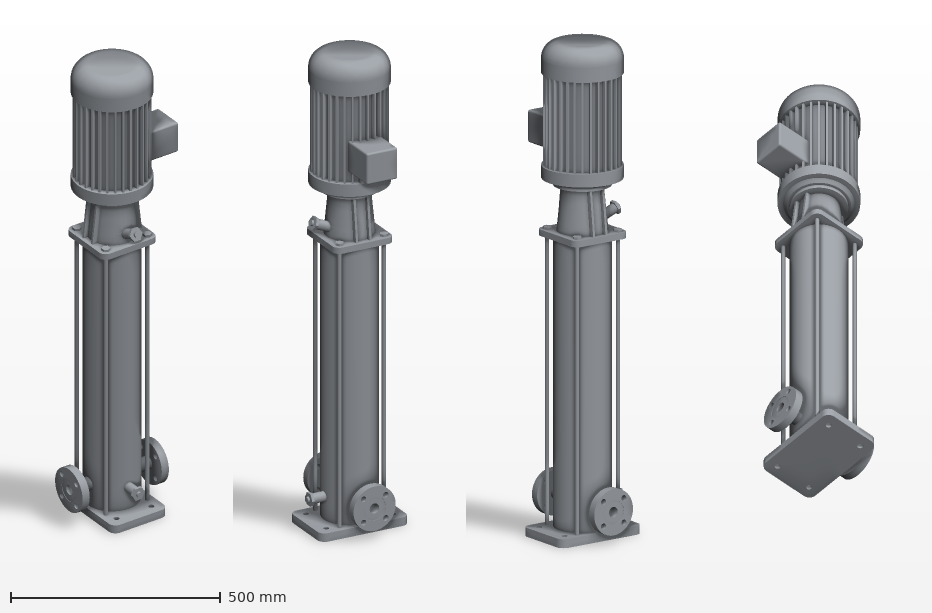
import cadquery as cq
import math


TOTAL_HEIGHT = 1217.0
OVERLAP = 4.0

BASE_LENGTH = 240.0
BASE_WIDTH = 160.0
BASE_HEIGHT = 22.0
PLATE_CORNER_RADIUS = 20.0
BASE_HOLE_DIAMETER = 15.0
BASE_HOLE_SPACING_X = 181.0
BASE_HOLE_SPACING_Y = 101.0

BARREL_DIAMETER = 140.0
HEAD_BOTTOM = 735.0
HEAD_THICKNESS = 16.0
HEAD_TOP = HEAD_BOTTOM + HEAD_THICKNESS
ROD_DIAMETER = 10.0
ROD_SPACING = 120.0
NUT_ACROSS_CORNERS = 22.0
NUT_HEIGHT = 6.0

PIPE_HEIGHT = 82.0
PIPE_DIAMETER = 34.0
BORE_DIAMETER = 25.0
FLANGE_DIAMETER = 115.0
FLANGE_THICKNESS = 21.0
FLANGE_REACH = 125.0
FLANGE_HOLE_DIAMETER = 15.0
FLANGE_HOLE_CIRCLE = 85.0
FACE_DIAMETER = 60.0
FACE_RECESS = 1.0

PLUG_DIAMETER = 25.0
PLUG_HEX_ACROSS_FLATS = 32.0
PLUG_HEX_THICKNESS = 7.0
PLUG_PIN_DIAMETER = 15.0
PLUG_PIN_LENGTH = 6.0
DRAIN_END = 117.0
VENT_LENGTH = 115.0
VENT_START_HEIGHT = 752.0
VENT_TILT = 22.0

LANTERN_BOTTOM_RADIUS = 62.0
LANTERN_TOP_RADIUS = 51.0
RIB_THICKNESS = 6.0
RIB_SPACING = 37.0
RIB_BOTTOM_REACH = 72.0
RIB_TOP_REACH = 58.0

MOTOR_FLANGE_BOTTOM = 863.0
MOTOR_FLANGE_TOP = 873.0
MOTOR_FLANGE_DIAMETER = 140.0
BELL_BOTTOM = 881.0
BELL_TOP = 913.0
BELL_CONE_BOTTOM_RADIUS = 77.0
BELL_CONE_TOP_RADIUS = 85.0
MOTOR_DIAMETER = 197.0
COVER_BOTTOM = 1139.0
COVER_ROUNDING = 40.0
CORE_DIAMETER = 163.0
FIN_DIAMETER = 187.0
FIN_COUNT = 30
FIN_THICKNESS = 5.0

BOX_WIDTH = 84.0
BOX_BOTTOM = 938.0
BOX_TOP = 1019.0
BOX_START = 61.0
BOX_REACH = 164.0
BOX_ROUNDING = 5.0


def cylinder(diameter, bottom, top):
    return cq.Workplane("XY").workplane(offset=bottom).circle(diameter / 2).extrude(top - bottom)


def rounded_plate(length, width, bottom, thickness):
    plate = cq.Workplane("XY").workplane(offset=bottom).rect(length, width).extrude(thickness)
    return plate.edges("|Z").fillet(PLATE_CORNER_RADIUS)


def make_base():
    base = rounded_plate(BASE_LENGTH, BASE_WIDTH, 0, BASE_HEIGHT)
    hole_centers = base.faces(">Z").workplane().rect(
        BASE_HOLE_SPACING_X, BASE_HOLE_SPACING_Y, forConstruction=True
    )
    return hole_centers.vertices().hole(BASE_HOLE_DIAMETER)


def make_body():
    barrel = cylinder(BARREL_DIAMETER, BASE_HEIGHT - OVERLAP, HEAD_BOTTOM + OVERLAP)
    head = rounded_plate(BASE_WIDTH, BASE_WIDTH, HEAD_BOTTOM, HEAD_THICKNESS)
    corners = cq.Workplane("XY").rect(ROD_SPACING, ROD_SPACING, forConstruction=True).vertices()
    rods = corners.circle(ROD_DIAMETER / 2).extrude(HEAD_BOTTOM + OVERLAP)
    rods = rods.intersect(cylinder(2 * BASE_LENGTH, BASE_HEIGHT - OVERLAP, HEAD_TOP))
    nuts = (
        cq.Workplane("XY")
        .workplane(offset=HEAD_TOP - OVERLAP)
        .rect(ROD_SPACING, ROD_SPACING, forConstruction=True)
        .vertices()
        .polygon(6, NUT_ACROSS_CORNERS)
        .extrude(NUT_HEIGHT + OVERLAP)
    )
    return barrel.union(rods).union(head).union(nuts)


def make_pipe_flange():
    """Flanged pipe pointing to +Z from the origin; its bore ends at the barrel wall."""
    flange_back = FLANGE_REACH - FLANGE_THICKNESS
    barrel_radius = BARREL_DIAMETER / 2
    pipe = cylinder(PIPE_DIAMETER, barrel_radius - OVERLAP, FLANGE_REACH - OVERLAP)
    disc = cylinder(FLANGE_DIAMETER, flange_back, FLANGE_REACH)
    bolt_holes = (
        cq.Workplane("XY")
        .workplane(offset=flange_back)
        .polarArray(FLANGE_HOLE_CIRCLE / 2, 45, 360, 4)
        .circle(FLANGE_HOLE_DIAMETER / 2)
        .extrude(FLANGE_THICKNESS)
    )
    recess = cylinder(FACE_DIAMETER, FLANGE_REACH - FACE_RECESS, FLANGE_REACH)
    bore = cylinder(BORE_DIAMETER, barrel_radius, FLANGE_REACH)
    return disc.union(pipe).cut(bolt_holes).cut(recess).cut(bore)


def make_plug(start, end):
    """Plug along +Z from start to end, with two hexagon corners on the Y direction."""
    pin_start = end - PLUG_PIN_LENGTH
    hex_start = pin_start - PLUG_HEX_THICKNESS
    hex_across_corners = PLUG_HEX_ACROSS_FLATS / math.cos(math.radians(30))
    stub = cylinder(PLUG_DIAMETER, start, pin_start)
    hexagon = (
        cq.Workplane("XY")
        .workplane(offset=hex_start)
        .transformed(rotate=(0, 0, 90))
        .polygon(6, hex_across_corners)
        .extrude(PLUG_HEX_THICKNESS)
    )
    pin = cylinder(PLUG_PIN_DIAMETER, pin_start - OVERLAP, end)
    return stub.union(hexagon).union(pin)


def place_plug(plug, height, tilt):
    """Turn a plug from +Z towards +X, raised by tilt degrees, and lift it to its height."""
    return plug.rotate((0, 0, 0), (0, 1, 0), 90 - tilt).translate((0, 0, height))


def make_lantern():
    cone = (
        cq.Workplane("XZ")
        .moveTo(0, HEAD_TOP - OVERLAP)
        .lineTo(LANTERN_BOTTOM_RADIUS, HEAD_TOP - OVERLAP)
        .lineTo(LANTERN_BOTTOM_RADIUS, HEAD_TOP)
        .lineTo(LANTERN_TOP_RADIUS, MOTOR_FLANGE_BOTTOM)
        .lineTo(LANTERN_TOP_RADIUS, MOTOR_FLANGE_BOTTOM + OVERLAP)
        .lineTo(0, MOTOR_FLANGE_BOTTOM + OVERLAP)
        .close()
        .revolve(360, (0, 0, 0), (0, 1, 0))
    )
    blade = (
        cq.Workplane("YZ")
        .polyline([
            (-RIB_BOTTOM_REACH, HEAD_TOP),
            (RIB_BOTTOM_REACH, HEAD_TOP),
            (RIB_TOP_REACH, MOTOR_FLANGE_BOTTOM),
            (-RIB_TOP_REACH, MOTOR_FLANGE_BOTTOM),
        ])
        .close()
        .extrude(RIB_THICKNESS / 2, both=True)
    )
    for side in (-1, 1):
        cone = cone.union(blade.translate((side * RIB_SPACING / 2, 0, 0)))
    return cone


def make_motor():
    bell_profile = [
        (0, MOTOR_FLANGE_BOTTOM),
        (MOTOR_FLANGE_DIAMETER / 2, MOTOR_FLANGE_BOTTOM),
        (MOTOR_FLANGE_DIAMETER / 2, MOTOR_FLANGE_TOP),
        (BELL_CONE_BOTTOM_RADIUS, MOTOR_FLANGE_TOP),
        (BELL_CONE_TOP_RADIUS, BELL_BOTTOM),
        (MOTOR_DIAMETER / 2, BELL_BOTTOM),
        (MOTOR_DIAMETER / 2, BELL_TOP),
        (0, BELL_TOP),
    ]
    bell = cq.Workplane("XZ").polyline(bell_profile).close().revolve(360, (0, 0, 0), (0, 1, 0))
    core = cylinder(CORE_DIAMETER, BELL_TOP - OVERLAP, COVER_BOTTOM + OVERLAP)
    cover = cylinder(MOTOR_DIAMETER, COVER_BOTTOM, TOTAL_HEIGHT)
    cover = cover.faces(">Z").edges().fillet(COVER_ROUNDING)

    fin_root = CORE_DIAMETER / 2 - OVERLAP
    fin_depth = FIN_DIAMETER / 2 - fin_root
    fins = (
        cq.Workplane("XY")
        .workplane(offset=BELL_TOP)
        .polarArray(fin_root + fin_depth / 2, 90, 360, FIN_COUNT)
        .rect(fin_depth, FIN_THICKNESS)
        .extrude(COVER_BOTTOM - BELL_TOP)
    )
    return core.union(fins).union(bell).union(cover)


def make_terminal_box():
    depth = BOX_REACH - BOX_START
    box = cq.Workplane("XY").box(BOX_WIDTH, depth, BOX_TOP - BOX_BOTTOM)
    box = box.edges("|Y or >Y").fillet(BOX_ROUNDING)
    return box.translate((0, BOX_START + depth / 2, (BOX_TOP + BOX_BOTTOM) / 2))


result = make_base().union(make_body())

for turn in (90, -90):
    flange = make_pipe_flange().rotate((0, 0, 0), (1, 0, 0), turn)
    result = result.union(flange.translate((0, 0, PIPE_HEIGHT)))

drain = make_plug(BARREL_DIAMETER / 2 - OVERLAP, DRAIN_END)
vent = make_plug(LANTERN_TOP_RADIUS - OVERLAP, VENT_LENGTH)

result = (
    result.union(make_lantern())
    .union(make_motor())
    .union(make_terminal_box())
    .union(place_plug(drain, PIPE_HEIGHT, 0))
    .union(place_plug(vent, VENT_START_HEIGHT, VENT_TILT))
)